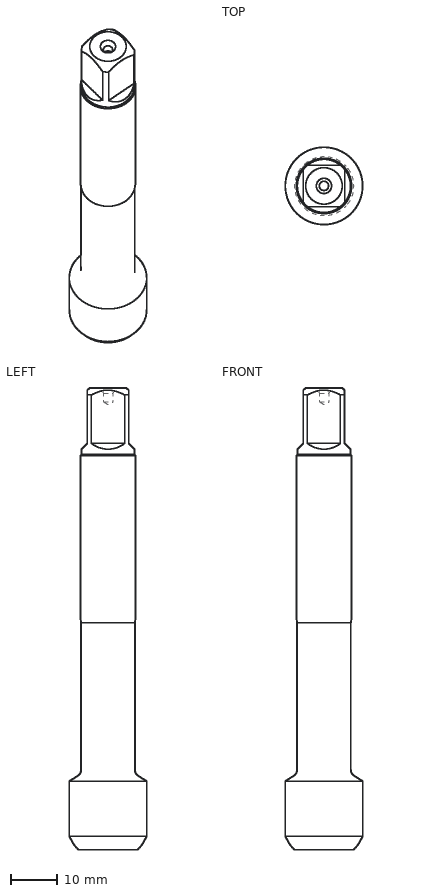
import cadquery as cq
import math

total_length = 100.0
seam_height = 49.2
taper_length = 0.9
shank_top = 85.6
flats_bottom = 88.0

shaft_diameter = 12.0
drive_diameter = 11.5
square_width = 9.0
drive_tip_diameter = 7.9
drive_tip_chamfer_height = 1.5
flat_runout = (drive_diameter - square_width) / 2

centre_hole_diameter = 2.0
centre_hole_depth = 3.0
centre_hole_mouth_diameter = 3.3
mouth_half_angle = math.radians(30)
drill_half_angle = math.radians(60)

neck_diameter = 11.7
neck_fillet_radius = 1.4
head_diameter = 16.8
head_shoulder_height = 14.9
shoulder_angle = math.radians(32)
head_taper_height = 2.9
head_break_height = 1.1
head_break_diameter = 14.8
head_bottom_diameter = 12.8


def revolved(points):
    """Solid of revolution about Z from (radius, height) points."""
    return cq.Workplane("XZ").polyline(points).close().revolve(360, (0, 0), (0, 1))


def centre_hole():
    mouth_radius = centre_hole_mouth_diameter / 2
    hole_radius = centre_hole_diameter / 2
    mouth_bottom = total_length - (mouth_radius - hole_radius) / math.tan(mouth_half_angle)
    hole_bottom = total_length - centre_hole_depth
    drill_point = hole_bottom - hole_radius / math.tan(drill_half_angle)
    return revolved([
        (0, total_length),
        (mouth_radius, total_length),
        (hole_radius, mouth_bottom),
        (hole_radius, hole_bottom),
        (0, drill_point),
    ])


def flat_cut(angle):
    """Cutter for one flat of the square, with a sloping run-out at its foot."""
    inner = square_width / 2
    outer = inner + 2 * flat_runout
    cutter = (
        cq.Workplane("XZ")
        .polyline([
            (inner, flats_bottom),
            (outer, flats_bottom - (outer - inner)),
            (outer, total_length),
            (inner, total_length),
        ])
        .close()
        .extrude(shaft_diameter / 2, both=True)
    )
    return cutter.rotate((0, 0, 0), (0, 0, 1), angle)


def make_drive_shaft():
    shaft_radius = shaft_diameter / 2
    drive_radius = drive_diameter / 2
    shank_chamfer = shaft_radius - drive_radius
    shaft = revolved([
        (0, seam_height),
        (neck_diameter / 2, seam_height),
        (shaft_radius, seam_height + taper_length),
        (shaft_radius, shank_top - shank_chamfer),
        (drive_radius, shank_top),
        (drive_radius, total_length - drive_tip_chamfer_height),
        (drive_tip_diameter / 2, total_length),
        (0, total_length),
    ])
    for side in range(4):
        shaft = shaft.cut(flat_cut(side * 90))
    return shaft.cut(centre_hole())


def make_socket_head():
    neck_radius = neck_diameter / 2
    head_radius = head_diameter / 2
    shoulder_rise = (head_radius - neck_radius) * math.tan(shoulder_angle)
    neck_bottom = head_shoulder_height + shoulder_rise
    head = revolved([
        (0, 0),
        (head_bottom_diameter / 2, 0),
        (head_break_diameter / 2, head_break_height),
        (head_radius, head_taper_height),
        (head_radius, head_shoulder_height),
        (neck_radius, neck_bottom),
        (neck_radius, seam_height),
        (0, seam_height),
    ])
    corner_reach = shaft_diameter
    corner_margin = 0.1
    corner_box = cq.selectors.BoxSelector(
        (-corner_reach, -corner_reach, neck_bottom - corner_margin),
        (corner_reach, corner_reach, neck_bottom + corner_margin),
    )
    return head.edges(corner_box).fillet(neck_fillet_radius)


drive_shaft = make_drive_shaft()
socket_head = make_socket_head()

result = cq.Compound.makeCompound([drive_shaft.val(), socket_head.val()])